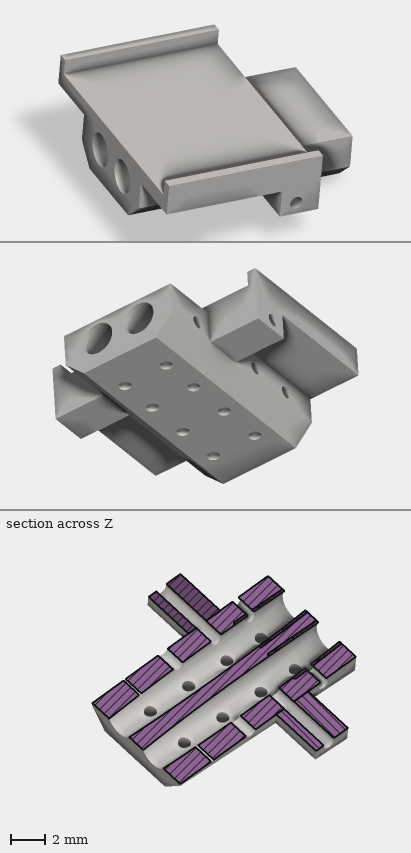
import cadquery as cq
import math


TRAY_WIDTH = 14.82
TRAY_LENGTH = 10.0
FLOOR_THICKNESS = 1.0
RAIL_HEIGHT = 1.0
RAIL_WIDTH = 0.6

BLOCK_WIDTH = 7.79
BLOCK_HEIGHT = 3.01
BLOCK_CHAMFER = 1.25
BLOCK_LENGTH = 13.75
CAP_THICKNESS = 0.39

BORE_DIAMETER = 2.1
BORE_SPACING = 3.01
BORE_DEPTH = 1.0
BUSHING_WALL = 0.15
BUSHINGS_PER_BORE = 2

LUG_LENGTH = 2.5
SCREW_HOLE_DIAMETER = 0.77
LUG_HOLE_DIAMETER = 0.8
FIRST_HOLE_Y = 2.5
HOLE_PITCH = 3.01
LUG_HOLE_Y = FIRST_HOLE_Y + 2 * HOLE_PITCH
REAR_HOLE_Y = 11.21

PITCH = -4.6
YAW = 0.4
ROLL = 0.03

REAR_LENGTH = BLOCK_LENGTH - TRAY_LENGTH
BUSHING_LENGTH = REAR_LENGTH / BUSHINGS_PER_BORE
BUSHING_DIAMETER = BORE_DIAMETER + 2 * BUSHING_WALL
LUG_WIDTH = (TRAY_WIDTH - BLOCK_WIDTH) / 2
LUG_HEIGHT = BLOCK_HEIGHT - BLOCK_CHAMFER
BORE_XS = [-BORE_SPACING / 2, BORE_SPACING / 2]
HOLE_YS = [FIRST_HOLE_Y, FIRST_HOLE_Y + HOLE_PITCH, LUG_HOLE_Y, REAR_HOLE_Y]


def box(x_min, y_min, z_min, width, length, height):
    """A box placed by its lowest corner."""
    return cq.Workplane("XY").box(width, length, height, centered=False).translate((x_min, y_min, z_min))


def cylinder(diameter, start, direction, length):
    """A round bar running from a start point along a direction."""
    return cq.Workplane(cq.Solid.makeCylinder(diameter / 2, length, cq.Vector(*start), cq.Vector(*direction)))


def bore_cylinders(diameter, y_start, length):
    """A pair of bars lying on the two bore axes."""
    left, right = [cylinder(diameter, (x, y_start, -BORE_DEPTH), (0, 1, 0), length) for x in BORE_XS]
    return left.union(right)


def tilted(body):
    """Move a body from the square layout to its tilted place."""
    rolled = body.rotate((0, 0, 0), (0, 1, 0), ROLL)
    pitched = rolled.rotate((0, 0, 0), (1, 0, 0), PITCH)
    return pitched.rotate((0, 0, 0), (0, 0, 1), YAW)


def screw_holes():
    """Cutters that enter each bore from the nearer side of the block and from below."""
    cutters = cq.Workplane("XY")
    for bore_x in BORE_XS:
        outward = math.copysign(1, bore_x)
        side_length = BLOCK_WIDTH / 2 - abs(bore_x)
        bottom_length = BLOCK_HEIGHT - BORE_DEPTH
        for y in HOLE_YS:
            axis_point = (bore_x, y, -BORE_DEPTH)
            cutters = cutters.add(cylinder(SCREW_HOLE_DIAMETER, axis_point, (outward, 0, 0), side_length))
            cutters = cutters.add(cylinder(SCREW_HOLE_DIAMETER, axis_point, (0, 0, -1), bottom_length))
    return cutters.combine()


def make_housing():
    """Tray with side rails on top of the chamfered, bored block."""
    tray = box(-TRAY_WIDTH / 2, 0, 0, TRAY_WIDTH, TRAY_LENGTH, FLOOR_THICKNESS + RAIL_HEIGHT)
    inner_width = TRAY_WIDTH - 2 * RAIL_WIDTH
    tray = tray.cut(box(-inner_width / 2, 0, FLOOR_THICKNESS, inner_width, TRAY_LENGTH, RAIL_HEIGHT))

    block = box(-BLOCK_WIDTH / 2, 0, -BLOCK_HEIGHT, BLOCK_WIDTH, BLOCK_LENGTH, BLOCK_HEIGHT)
    block = block.faces("<Z").edges("|Y").chamfer(BLOCK_CHAMFER)

    housing = tray.union(block).clean()
    housing = housing.cut(bore_cylinders(BORE_DIAMETER, 0, BLOCK_LENGTH))
    housing = housing.cut(bore_cylinders(BUSHING_DIAMETER, TRAY_LENGTH, REAR_LENGTH))
    return housing.cut(screw_holes())


def make_cap():
    """Cover plate on the part of the block behind the tray, hollowed to clear the bushings."""
    cap = box(-BLOCK_WIDTH / 2, TRAY_LENGTH, 0, BLOCK_WIDTH, REAR_LENGTH, CAP_THICKNESS)
    return cap.cut(bore_cylinders(BUSHING_DIAMETER, TRAY_LENGTH, REAR_LENGTH))


def make_lug(side):
    """Drilled lug below the rear of the tray; side is -1 or 1 along X."""
    center_x = side * (BLOCK_WIDTH + LUG_WIDTH) / 2
    lug = box(
        center_x - LUG_WIDTH / 2, TRAY_LENGTH - LUG_LENGTH, -LUG_HEIGHT, LUG_WIDTH, LUG_LENGTH, LUG_HEIGHT
    )
    hole_start = (center_x - LUG_WIDTH / 2, LUG_HOLE_Y, -BORE_DEPTH)
    return lug.cut(cylinder(LUG_HOLE_DIAMETER, hole_start, (1, 0, 0), LUG_WIDTH))


def make_bushing(bore_x, y_start):
    """Ring lining the bore behind the tray, pierced where screw holes reach it."""
    start = (bore_x, y_start, -BORE_DEPTH)
    ring = cylinder(BUSHING_DIAMETER, start, (0, 1, 0), BUSHING_LENGTH)
    ring = ring.cut(cylinder(BORE_DIAMETER, start, (0, 1, 0), BUSHING_LENGTH))
    return ring.cut(screw_holes())


housing = tilted(make_housing())
cap = tilted(make_cap())
lugs = [tilted(make_lug(side)) for side in (-1, 1)]
bushings = [
    tilted(make_bushing(bore_x, TRAY_LENGTH + index * BUSHING_LENGTH))
    for bore_x in BORE_XS
    for index in range(BUSHINGS_PER_BORE)
]

result = cq.Compound.makeCompound([housing.val(), cap.val(), *[body.val() for body in lugs + bushings]])